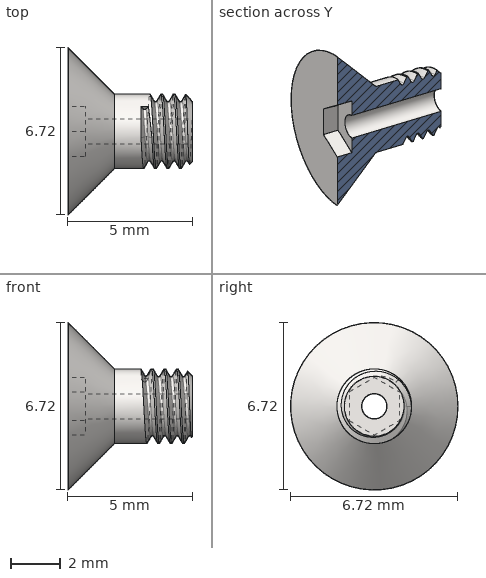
import cadquery as cq
import math

length = 5.0
head_radius = 3.36
shank_radius = 1.5
head_length = head_radius - shank_radius
tip_chamfer = 0.295
hex_across_flats = 2.0
hex_sides = 6
hex_depth = 0.7
bore_diameter = 1.0

pitch = length / 10
groove_depth = 0.31
crest_width = pitch / 8
flank_angle = math.radians(30)
half_mouth_width = (pitch - crest_width) / 2
root_radius = half_mouth_width / math.tan(flank_angle) - groove_depth
overcut = 0.04

reference_angle = 90
reference_x = 3.13
lead_in_start_angle = 48
full_depth_angle = 100
lead_in_start_depth = 0.19
lead_in_sections = 5


def groove_centre_x(angle):
    return reference_x + pitch * (angle - reference_angle) / 360


def groove_section(angle, depth):
    """Closed V with a rounded bottom, in the plane holding the axis at this angle."""
    bottom_r = shank_radius - depth
    tangent_r = bottom_r + root_radius * (1 - math.sin(flank_angle))
    outer_r = shank_radius + overcut
    half_root = root_radius * math.cos(flank_angle)
    half_mouth = (depth + root_radius + overcut) * math.tan(flank_angle)
    plane = cq.Plane(
        origin=(groove_centre_x(angle), 0, 0),
        xDir=(1, 0, 0),
        normal=(0, -math.sin(math.radians(angle)), math.cos(math.radians(angle))),
    )
    section = (
        cq.Workplane(plane)
        .moveTo(-half_mouth, outer_r)
        .lineTo(-half_root, tangent_r)
        .threePointArc((0, bottom_r), (half_root, tangent_r))
        .lineTo(half_mouth, outer_r)
        .close()
    )
    return section.val()


def thread_groove():
    """Full-depth helical cutter running out past the tip."""
    start_x = groove_centre_x(full_depth_angle)
    helix_height = length + pitch - start_x
    x_axis = cq.Vector(1, 0, 0)
    helix = cq.Wire.makeHelix(pitch, helix_height, shank_radius)
    helix = helix.rotate(cq.Vector(), cq.Vector(1, 1, 1), 120)
    helix = helix.rotate(cq.Vector(), x_axis, full_depth_angle)
    helix = helix.translate(cq.Vector(start_x, 0, 0))
    section = groove_section(full_depth_angle, groove_depth)
    return cq.Workplane(cq.Solid.sweep(section, [], helix, isFrenet=True))


def lead_in_groove():
    """Short cutter that deepens steadily up to the full-depth groove."""
    sections = []
    for index in range(lead_in_sections):
        fraction = index / (lead_in_sections - 1)
        angle = lead_in_start_angle + fraction * (full_depth_angle - lead_in_start_angle)
        depth = lead_in_start_depth + fraction * (groove_depth - lead_in_start_depth)
        sections.append(groove_section(angle, depth))
    return cq.Workplane(cq.Solid.makeLoft(sections))


def screw_blank():
    """Revolved head and shank with a chamfered tip."""
    return (
        cq.Workplane("XY")
        .lineTo(0, head_radius)
        .lineTo(head_length, shank_radius)
        .lineTo(length - tip_chamfer, shank_radius)
        .lineTo(length, shank_radius - tip_chamfer)
        .lineTo(length, 0)
        .close()
        .revolve(360, (0, 0, 0), (1, 0, 0))
    )


def hex_socket():
    """Hexagonal socket with two flats facing +Y and -Y."""
    across_corners = hex_across_flats / math.cos(math.pi / hex_sides)
    hexagon = cq.Workplane("YZ").polygon(hex_sides, across_corners).extrude(hex_depth)
    return hexagon.rotate((0, 0, 0), (1, 0, 0), 180 / hex_sides)


bore = cq.Workplane("YZ").circle(bore_diameter / 2).extrude(length)

result = screw_blank().cut(thread_groove()).cut(lead_in_groove()).cut(hex_socket()).cut(bore)